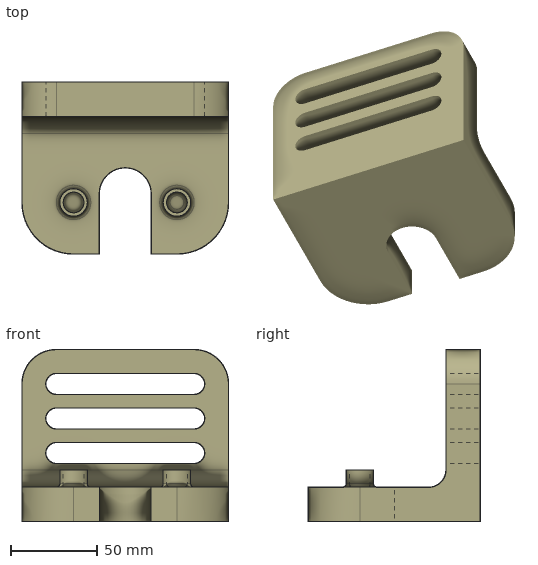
import cadquery as cq

width = 120.0
depth = 100.0
height = 100.0
thickness = 20.0
inner_fillet = 10.0
base_corner_radius = 30.0
wall_corner_radius = 20.0

notch_width = 30.0
notch_depth = 50.0

slot_count = 3
slot_length = 92.0
slot_height = 12.0
slot_pitch = 20.0
top_slot_drop = 20.0

boss_diameter = 16.0
boss_bore = 12.0
boss_height = 10.0
boss_fillet = 2.0
boss_spacing = 60.0
boss_setback = 30.0


def make_body():
    """L-shaped bracket centred on X, with its front at Y = 0 and its bottom at Z = 0."""
    base = cq.Workplane("XY").box(width, depth, thickness, centered=(True, False, False))
    base = base.edges("|Z and <Y").fillet(base_corner_radius)
    wall = (
        cq.Workplane("XY")
        .box(width, thickness, height, centered=(True, False, False))
        .edges("|Y and >Z")
        .fillet(wall_corner_radius)
        .translate((0, depth - thickness, 0))
    )
    wall_face = depth - thickness
    inner_corner = (
        cq.Workplane("YZ")
        .moveTo(wall_face, thickness)
        .lineTo(wall_face - inner_fillet, thickness)
        .radiusArc((wall_face, thickness + inner_fillet), -inner_fillet)
        .close()
        .extrude(width / 2, both=True)
    )
    return base.union(wall).union(inner_corner)


def make_notch():
    """Straight-sided notch with a round inner end."""
    radius = notch_width / 2
    straight = notch_depth - radius
    return (
        cq.Workplane("XY")
        .moveTo(-radius, 0)
        .lineTo(-radius, straight)
        .threePointArc((0, notch_depth), (radius, straight))
        .lineTo(radius, 0)
        .close()
        .extrude(thickness)
    )


def make_slots():
    """Evenly spaced round-ended slots, counted down from the top of the wall."""
    centres = [(0, height - top_slot_drop - i * slot_pitch) for i in range(slot_count)]
    return (
        cq.Workplane("XZ", origin=(0, depth, 0))
        .pushPoints(centres)
        .slot2D(slot_length, slot_height)
        .extrude(thickness)
    )


def make_boss(x, rounded_floor):
    """Boss with a filleted foot and a blind bore down to the base surface."""
    radius = boss_diameter / 2
    boss = (
        cq.Workplane("XZ")
        .lineTo(radius + boss_fillet, 0)
        .radiusArc((radius, boss_fillet), boss_fillet)
        .lineTo(radius, boss_height)
        .lineTo(0, boss_height)
        .close()
        .revolve(360, (0, 0), (0, 1))
    )
    bore = cq.Workplane("XY").circle(boss_bore / 2).extrude(boss_height)
    if rounded_floor:
        bore = bore.faces("<Z").edges().fillet(boss_fillet)
    return boss.cut(bore).translate((x, boss_setback, thickness))


result = make_body().cut(make_notch()).cut(make_slots())

result = result.union(make_boss(-boss_spacing / 2, rounded_floor=False))
result = result.union(make_boss(boss_spacing / 2, rounded_floor=True))